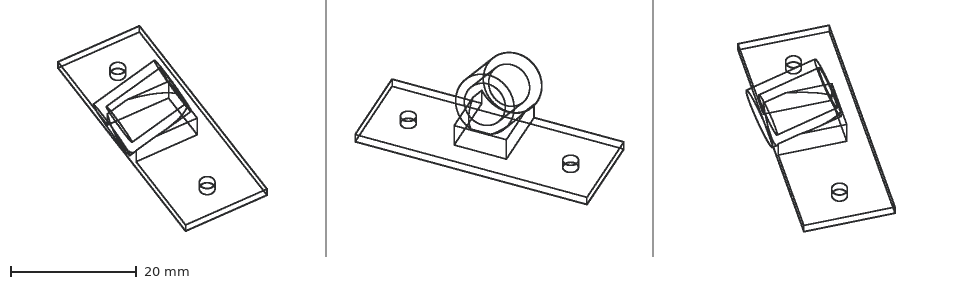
import cadquery as cq
import math

plate_length = 40.0
plate_width = 15.0
plate_thickness = 1.5
screw_hole_diameter = 2.5
screw_hole_spacing = 28.0

block_width = 9.0
block_depth = 0.75 * plate_width
block_height = 4.0

socket_diameter = 10.0
bore_diameter = 7.0
socket_length = 12.0
socket_tilt = 20.0
socket_center_y = -plate_width / 4
overall_height = 14.62

socket_floor = (socket_diameter - bore_diameter) / 2
tilt = math.radians(socket_tilt)
socket_half_height = (socket_length * math.sin(tilt) + socket_diameter * math.cos(tilt)) / 2
socket_center_z = overall_height - socket_half_height


def make_plate():
    plate = cq.Workplane("XY").box(
        plate_length, plate_width, plate_thickness, centered=(True, True, False)
    )
    hole_x = screw_hole_spacing / 2
    return (
        plate.faces(">Z")
        .workplane()
        .pushPoints([(-hole_x, 0), (hole_x, 0)])
        .hole(screw_hole_diameter)
    )


def make_block():
    """Block that starts at the underside of the plate so the two overlap."""
    block = cq.Workplane("XY").box(
        block_width, block_depth, plate_thickness + block_height, centered=(True, True, False)
    )
    return block.translate((0, (block_depth - plate_width) / 2, 0))


def socket_cylinder(diameter, start):
    """Cylinder on the socket axis, from `start` past the closed end to the open end."""
    axis = cq.Vector(0, math.cos(tilt), math.sin(tilt))
    center = cq.Vector(0, socket_center_y, socket_center_z)
    base = center + axis * (start - socket_length / 2)
    return cq.Workplane(
        cq.Solid.makeCylinder(diameter / 2, socket_length - start, base, axis)
    )


body = make_plate().union(make_block()).union(socket_cylinder(socket_diameter, 0))
result = body.cut(socket_cylinder(bore_diameter, socket_floor))